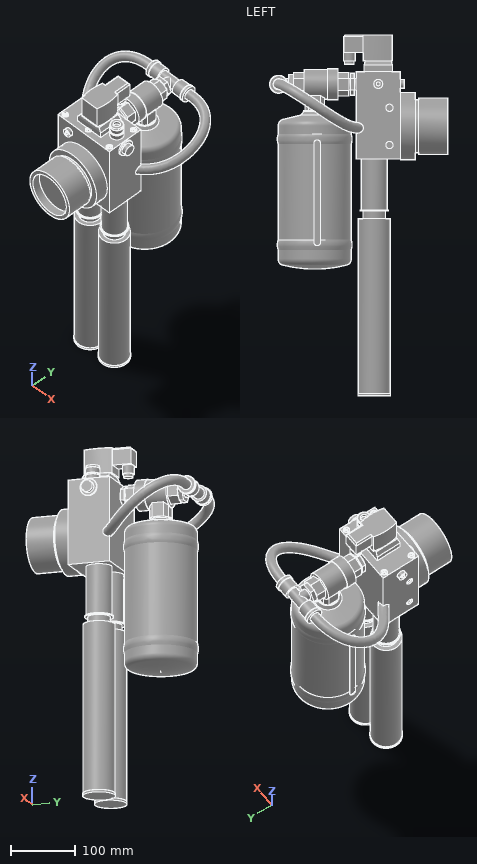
import cadquery as cq


BLOCK_WIDTH = 114.5
BLOCK_DEPTH = 69.0
BLOCK_HEIGHT = 136.5
BLOCK_BOTTOM = 370.0
BLOCK_TOP = BLOCK_BOTTOM + BLOCK_HEIGHT
BLOCK_SIDE = BLOCK_WIDTH / 2
BLOCK_BACK = BLOCK_DEPTH / 2
BLOCK_FRONT = -BLOCK_DEPTH / 2
SCREW_HOLE_DIA = 10.0
SCREW_HOLE_DEPTH = 3.0
SCREW_SOCKET_DIA = 5.5
SCREW_SOCKET_DEPTH = 5.5
SCREW_INSET = 8.0
CENTRE_SCREW_Y = -23.5
PORT_DIA = 11.0
PORT_DEPTH = 3.0
PORT_Y = -17.5
PORT_HEIGHTS = (392.0, 450.0)

PLUG_DIA = 14.0
PLUG_LENGTH = 6.0
PLUG_SOCKET_SIZE = 7.0
PLUG_SOCKET_DEPTH = 3.5
PLUG_Z = 487.5
FRONT_PLUG_X = -31.5
GLAND_Z = 492.0
GLAND_FLANGE_DIA = 27.0
GLAND_FLANGE_LENGTH = 3.0
GLAND_NUT_DIA = 18.5
GLAND_LENGTH = 10.0
BREATHER_X = 39.0
BREATHER_DIA = 22.5
BREATHER_HEIGHT = 23.5
BREATHER_BASE_HEIGHT = 9.0
BREATHER_GROOVE_DIA = 21.0
BREATHER_GROOVE_HEIGHT = 2.0
BREATHER_RIM_HEIGHT = 3.5
BREATHER_TOP_DIA = 21.0
BREATHER_HOLE_DIA = 11.0
BREATHER_HOLE_DEPTH = 5.5

GAUGE_Z = 421.5
GAUGE_FLANGE_DIA = 105.5
GAUGE_FLANGE_LENGTH = 23.5
GAUGE_NECK_DIA = 83.5
GAUGE_NECK_LENGTH = 5.0
GAUGE_BODY_DIA = 88.5
GAUGE_BODY_LENGTH = 45.5
GAUGE_RECESS_DIA = 74.5
GAUGE_RECESS_DEPTH = 14.0

BASE_WIDTH = 51.5
BASE_TOP_WIDTH = 40.5
BASE_DEPTH = 44.5
BASE_TOP_DEPTH = 41.0
BASE_PLATE_HEIGHT = 10.0
BASE_SLOPE_HEIGHT = 7.0
COIL_BOTTOM = BLOCK_TOP + BASE_PLATE_HEIGHT + BASE_SLOPE_HEIGHT
COIL_TOP = 564.0
COIL_END_WIDTH = 34.0
COIL_MID_WIDTH = 39.5
COIL_FRONT = -22.0
COIL_BACK = 23.5
CONNECTOR_BACK = 54.0
CONNECTOR_WIDTH = 26.5
CONNECTOR_BOTTOM = 536.5
CONNECTOR_BEVEL = 3.0
CABLE_Y = 45.0
CABLE_NUT_DIA = 18.5
CABLE_NUT_LENGTH = 13.5
CABLE_END_DIA = 15.0
CABLE_END_LENGTH = 5.0

CANISTER_Y = 99.0
CANISTER_DIA = 114.5
CANISTER_RADIUS = CANISTER_DIA / 2
CANISTER_BOTTOM = 198.0
BOTTOM_CORNER_Z = 204.0
TOP_CORNER_Z = 432.0
CORNER_INSET = 7.5
LOWER_WALL_Z = 214.0
UPPER_WALL_Z = 422.0
BEAD_RADIUS = 58.5
BEAD_HEIGHT = 16.0
BEAD_BOTTOMS = (228.0, 393.0)
SHOULDER_TOP_Z = 439.0
SHOULDER_TOP_RADIUS = 22.0
COLLAR_RADIUS = 17.5
COLLAR_Z = 444.0
COLLAR_TOP_Z = 446.0
NECK_SIZE = 31.0
NECK_CORNER_CHAMFER = 6.0
RIB_OFFSET = -4.0
RIB_WIDTH = 10.0
RIB_BOTTOM = 234.5
RIB_TOP = 400.0
RIB_SIDE = 60.0

COUPLING_Z = 487.0
STUB_DIA = 18.5
STUB_NUT_DIA = 35.0
STUB_NUT_START = 37.0
STUB_NUT_END = 43.5
COUPLING_HEX_DIA = 37.0
FRONT_HEX_START = 45.5
RING_START = 62.5
RING_DIA = 49.0
SLEEVE_START = 79.5
SLEEVE_DIA = 47.0
BACK_HEX_START = 115.5
BACK_NUT_START = 132.5
BACK_NUT_END = 140.0
BACK_NUT_DIA = 36.0
TEE_Y = 155.5
TEE_SLEEVE_START = 17.0
TEE_SLEEVE_END = 35.0
TEE_SLEEVE_DIA = 26.0
TEE_END = 40.5
TEE_FLANGE_DIA = 28.0

HOSE_DIA = 17.0
HOSE_END = (48.5, 27.0, 418.5)
LEFT_HOSE_BENDS = [
    (57.0, TEE_Y, COUPLING_Z),
    (167.5, 162.5, 499.0),
    (113.5, 57.0, 428.0),
    (85.0, 57.0, 418.5),
]
RIGHT_HOSE_BENDS = [
    (64.0, TEE_Y, COUPLING_Z),
    (146.0, 159.0, 498.0),
    (112.0, 62.5, 429.0),
    (82.0, 54.0, 418.5),
]

HANDLE_X = 27.0
HANDLE_Y = 6.0
GRIP_DIA = 50.0
GRIP_TOP = 277.0
CAP_DIA = 51.5
CAP_HEIGHT = 4.0
HANDLE_NECK_DIA = 35.5
TUBE_DIA = 41.0
TUBE_BOTTOM = 289.0
TUBE_RIM_DIA = 45.0
TUBE_RIM_HEIGHT = 1.5


def rod(start, direction, diameter, length):
    """Cylinder from a start point along a direction."""
    axis = cq.Plane(origin=start, normal=direction)
    return cq.Workplane(axis).circle(diameter / 2).extrude(length)


def vertical_rod(x, y, bottom, diameter, height):
    return rod((x, y, bottom), (0, 0, 1), diameter, height)


def plug(start, direction):
    """Round plug with a hexagon socket in its outer face."""
    axis = cq.Plane(origin=start, normal=direction)
    socket = cq.Workplane(axis).workplane(offset=PLUG_LENGTH - PLUG_SOCKET_DEPTH)
    socket = socket.polygon(6, PLUG_SOCKET_SIZE).extrude(PLUG_SOCKET_DEPTH)
    return rod(start, direction, PLUG_DIA, PLUG_LENGTH).cut(socket)


def make_breather():
    full_height = BREATHER_HEIGHT - BREATHER_RIM_HEIGHT
    body = vertical_rod(BREATHER_X, 0, BLOCK_TOP, BREATHER_DIA, full_height)
    rim = vertical_rod(BREATHER_X, 0, BLOCK_TOP + full_height, BREATHER_TOP_DIA, BREATHER_RIM_HEIGHT)
    groove_z = BLOCK_TOP + BREATHER_BASE_HEIGHT
    groove = vertical_rod(BREATHER_X, 0, groove_z, BREATHER_DIA, BREATHER_GROOVE_HEIGHT)
    groove = groove.cut(vertical_rod(BREATHER_X, 0, groove_z, BREATHER_GROOVE_DIA, BREATHER_GROOVE_HEIGHT))
    hole_z = BLOCK_TOP + BREATHER_HEIGHT - BREATHER_HOLE_DEPTH
    hole = vertical_rod(BREATHER_X, 0, hole_z, BREATHER_HOLE_DIA, BREATHER_HOLE_DEPTH)
    return body.union(rim).cut(groove).cut(hole)


def make_gland():
    start = (BLOCK_SIDE, 0, GLAND_Z)
    flange = rod(start, (1, 0, 0), GLAND_FLANGE_DIA, GLAND_FLANGE_LENGTH)
    return flange.union(rod(start, (1, 0, 0), GLAND_NUT_DIA, GLAND_LENGTH))


def make_block():
    block = cq.Workplane("XY").box(BLOCK_WIDTH, BLOCK_DEPTH, BLOCK_HEIGHT)
    block = block.translate((0, 0, BLOCK_BOTTOM + BLOCK_HEIGHT / 2))
    screw_x = BLOCK_SIDE - SCREW_INSET
    screw_y = BLOCK_BACK - SCREW_INSET
    screws = [(x, y) for x in (-screw_x, screw_x) for y in (-screw_y, screw_y)]
    screws.append((0, CENTRE_SCREW_Y))
    for x, y in screws:
        top = (x, y, BLOCK_TOP)
        block = block.cut(rod(top, (0, 0, -1), SCREW_HOLE_DIA, SCREW_HOLE_DEPTH))
        block = block.cut(rod(top, (0, 0, -1), SCREW_SOCKET_DIA, SCREW_SOCKET_DEPTH))
    for z in PORT_HEIGHTS:
        block = block.cut(rod((-BLOCK_SIDE, PORT_Y, z), (1, 0, 0), PORT_DIA, PORT_DEPTH))
    block = block.union(plug((FRONT_PLUG_X, BLOCK_FRONT, PLUG_Z), (0, -1, 0)))
    block = block.union(plug((-BLOCK_SIDE, 0, PLUG_Z), (-1, 0, 0)))
    return block.union(make_gland()).union(make_breather())


def make_gauge():
    neck_y = BLOCK_FRONT - GAUGE_FLANGE_LENGTH
    body_y = neck_y - GAUGE_NECK_LENGTH
    face_y = body_y - GAUGE_BODY_LENGTH
    forward = (0, -1, 0)
    flange = rod((0, BLOCK_FRONT, GAUGE_Z), forward, GAUGE_FLANGE_DIA, GAUGE_FLANGE_LENGTH)
    neck = rod((0, neck_y, GAUGE_Z), forward, GAUGE_NECK_DIA, GAUGE_NECK_LENGTH)
    body = rod((0, body_y, GAUGE_Z), forward, GAUGE_BODY_DIA, GAUGE_BODY_LENGTH)
    recess = rod((0, face_y, GAUGE_Z), (0, 1, 0), GAUGE_RECESS_DIA, GAUGE_RECESS_DEPTH)
    return flange.union(neck).union(body).cut(recess)


def make_solenoid():
    plate = cq.Workplane("XY").workplane(offset=BLOCK_TOP).rect(BASE_WIDTH, BASE_DEPTH)
    plate = plate.extrude(BASE_PLATE_HEIGHT)
    slope = plate.faces(">Z").workplane().rect(BASE_WIDTH, BASE_DEPTH)
    slope = slope.workplane(offset=BASE_SLOPE_HEIGHT).rect(BASE_TOP_WIDTH, BASE_TOP_DEPTH)
    base = slope.loft(combine=True)

    end_x = COIL_END_WIDTH / 2
    mid_x = COIL_MID_WIDTH / 2
    mid_y = (COIL_FRONT + COIL_BACK) / 2
    coil = (
        cq.Workplane("XY").workplane(offset=COIL_BOTTOM)
        .moveTo(-end_x, COIL_FRONT)
        .lineTo(end_x, COIL_FRONT)
        .threePointArc((mid_x, mid_y), (end_x, COIL_BACK))
        .lineTo(-end_x, COIL_BACK)
        .threePointArc((-mid_x, mid_y), (-end_x, COIL_FRONT))
        .close()
        .extrude(COIL_TOP - COIL_BOTTOM)
    )

    connector_depth = CONNECTOR_BACK - COIL_BACK
    connector_height = COIL_TOP - CONNECTOR_BOTTOM
    connector = cq.Workplane("XY").box(CONNECTOR_WIDTH, connector_depth, connector_height)
    connector = connector.faces(">Z").edges("|Y or >Y").chamfer(CONNECTOR_BEVEL)
    connector = connector.translate(
        (0, COIL_BACK + connector_depth / 2, CONNECTOR_BOTTOM + connector_height / 2))

    down = (0, 0, -1)
    nut = rod((0, CABLE_Y, CONNECTOR_BOTTOM), down, CABLE_NUT_DIA, CABLE_NUT_LENGTH)
    cable_end = rod((0, CABLE_Y, CONNECTOR_BOTTOM - CABLE_NUT_LENGTH), down, CABLE_END_DIA, CABLE_END_LENGTH)
    return base.union(coil).union(connector).union(nut).union(cable_end)


def along_coupling(start, end, diameter):
    """Round section of the coupling between two Y positions."""
    return rod((0, start, COUPLING_Z), (0, 1, 0), diameter, end - start)


def hex_along_coupling(start, end, diameter, turn):
    """Hexagonal section of the coupling; turn 0 puts corners at the sides, 30 puts them on top."""
    section = cq.Workplane("XZ").polygon(6, diameter).extrude(start - end)
    section = section.rotate((0, 0, 0), (0, 1, 0), turn)
    return section.translate((0, start, COUPLING_Z))


def make_tee():
    tee = rod((-TEE_END, TEE_Y, COUPLING_Z), (1, 0, 0), STUB_DIA, 2 * TEE_END)
    for side in (-1, 1):
        outward = (side, 0, 0)
        sleeve_start = (side * TEE_SLEEVE_START, TEE_Y, COUPLING_Z)
        flange_start = (side * TEE_SLEEVE_END, TEE_Y, COUPLING_Z)
        tee = tee.union(rod(sleeve_start, outward, TEE_SLEEVE_DIA, TEE_SLEEVE_END - TEE_SLEEVE_START))
        tee = tee.union(rod(flange_start, outward, TEE_FLANGE_DIA, TEE_END - TEE_SLEEVE_END))
    return tee


def make_coupling():
    corners_up = 30
    corners_sideways = 0
    coupling = along_coupling(BLOCK_BACK, TEE_Y, STUB_DIA)
    coupling = coupling.union(hex_along_coupling(STUB_NUT_START, STUB_NUT_END, STUB_NUT_DIA, corners_up))
    coupling = coupling.union(hex_along_coupling(FRONT_HEX_START, RING_START, COUPLING_HEX_DIA, corners_up))
    coupling = coupling.union(along_coupling(RING_START, SLEEVE_START, RING_DIA))
    coupling = coupling.union(along_coupling(SLEEVE_START, BACK_HEX_START, SLEEVE_DIA))
    coupling = coupling.union(hex_along_coupling(BACK_HEX_START, BACK_NUT_START, COUPLING_HEX_DIA, corners_up))
    back_nut = hex_along_coupling(BACK_NUT_START, BACK_NUT_END, BACK_NUT_DIA, corners_sideways)
    coupling = coupling.union(back_nut)
    return coupling.union(make_tee())


def make_canister():
    corner_radius = CANISTER_RADIUS - CORNER_INSET
    dome_radius = corner_radius / 2
    dome_z = CANISTER_BOTTOM + (BOTTOM_CORNER_Z - CANISTER_BOTTOM) / 4

    profile = (
        cq.Workplane("XZ")
        .moveTo(0, CANISTER_BOTTOM)
        .threePointArc((dome_radius, dome_z), (corner_radius, BOTTOM_CORNER_Z))
        .tangentArcPoint((CANISTER_RADIUS, LOWER_WALL_Z), relative=False)
    )
    for bead in BEAD_BOTTOMS:
        profile = profile.lineTo(CANISTER_RADIUS, bead).threePointArc(
            (BEAD_RADIUS, bead + BEAD_HEIGHT / 2), (CANISTER_RADIUS, bead + BEAD_HEIGHT))
    shell = (
        profile
        .lineTo(CANISTER_RADIUS, UPPER_WALL_Z)
        .tangentArcPoint((corner_radius, TOP_CORNER_Z), relative=False)
        .lineTo(SHOULDER_TOP_RADIUS, SHOULDER_TOP_Z)
        .lineTo(COLLAR_RADIUS, COLLAR_Z)
        .lineTo(COLLAR_RADIUS, COLLAR_TOP_Z)
        .lineTo(0, COLLAR_TOP_Z)
        .close()
        .revolve(360, (0, 0), (0, 1))
    )

    neck = cq.Workplane("XY").workplane(offset=COLLAR_TOP_Z).rect(NECK_SIZE, NECK_SIZE)
    neck = neck.extrude(COUPLING_Z - COLLAR_TOP_Z).edges("|Z").chamfer(NECK_CORNER_CHAMFER)
    rib = cq.Workplane("YZ").center(RIB_OFFSET, (RIB_BOTTOM + RIB_TOP) / 2)
    rib = rib.slot2D(RIB_TOP - RIB_BOTTOM, RIB_WIDTH, 90).extrude(-RIB_SIDE)
    return shell.union(neck).union(rib).translate((0, CANISTER_Y, 0))


def make_hose(side, bends):
    """Hose from one end of the tee, around the outside and into the back corner of the block."""
    route = [(TEE_END, TEE_Y, COUPLING_Z), *bends, HOSE_END]
    curve = cq.Edge.makeBezier([cq.Vector(side * x, y, z) for x, y, z in route])
    start = cq.Plane(origin=(side * TEE_END, TEE_Y, COUPLING_Z), normal=(side, 0, 0))
    return cq.Workplane(start).circle(HOSE_DIA / 2).sweep(cq.Workplane(curve))


def make_handle(side):
    x = side * HANDLE_X
    cap = vertical_rod(x, HANDLE_Y, 0, CAP_DIA, CAP_HEIGHT)
    grip = vertical_rod(x, HANDLE_Y, 0, GRIP_DIA, GRIP_TOP)
    neck = vertical_rod(x, HANDLE_Y, GRIP_TOP, HANDLE_NECK_DIA, TUBE_BOTTOM - GRIP_TOP)
    rim = vertical_rod(x, HANDLE_Y, TUBE_BOTTOM, TUBE_RIM_DIA, TUBE_RIM_HEIGHT)
    tube = vertical_rod(x, HANDLE_Y, TUBE_BOTTOM, TUBE_DIA, BLOCK_BOTTOM - TUBE_BOTTOM)
    return grip.union(cap).union(neck).union(rim).union(tube)


coupling = make_coupling()
canister = make_canister().cut(coupling)

hoses = [make_hose(-1, LEFT_HOSE_BENDS), make_hose(1, RIGHT_HOSE_BENDS)]
block = make_block()
for hose in hoses:
    block = block.cut(hose)

gauge = make_gauge()
solenoid = make_solenoid()
handles = [make_handle(side) for side in (-1, 1)]

result = cq.Compound.makeCompound([
    block.val(),
    gauge.val(),
    solenoid.val(),
    coupling.val(),
    canister.val(),
    *[hose.val() for hose in hoses],
    *[handle.val() for handle in handles],
])